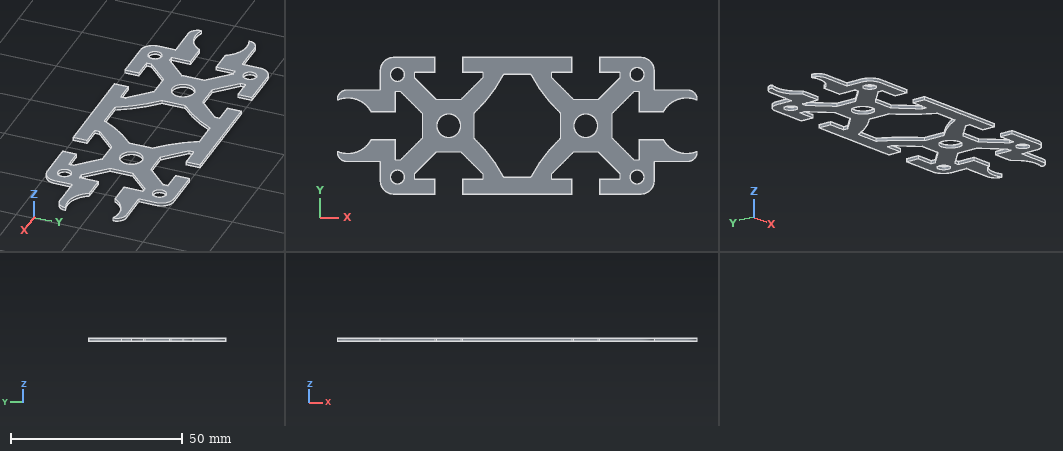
import cadquery as cq

thickness = 1.0
overall_length = 105.0
cell = 40.0
half_cell = cell / 2
body_length = 2 * cell
corner_radius = 4.0

core_hole_diameter = 6.8
corner_hole_diameter = 4.0
corner_hole_inset = 5.0

slot_opening = 8.1
lip_thickness = 4.4
cavity_half_width = 10.0
core_half = 7.7
floor_half_width = 3.6
shoulder_depth = core_half + cavity_half_width - floor_half_width

arm_half_height = 10.5
nose_length = 3.0
nose_middle = (51.6, 9.8)
tip_outer_y = 8.2
tip_inner_y = 7.5
hook_root_x = 42.6
hook_crest = (49.5, 8.1)

window_half_length = 12.6
window_side_half = 3.7
window_half_height = half_cell - corner_hole_inset
window_top_half = 4.0
window_flank_middle = (8.8, 7.7)


def plate(sketch):
    """Extrude an outline through the full thickness."""
    return sketch.extrude(thickness)


def mirrored(solid):
    """Return the solid joined with its copies across the X and Y axes."""
    pair = solid.union(solid.mirror("XZ"))
    return pair.union(pair.mirror("YZ"))


def t_slot():
    """Slot cutter at the origin core, opening toward +Y."""
    opening_half = slot_opening / 2
    lip_y = half_cell - lip_thickness
    right = [
        (floor_half_width, core_half),
        (cavity_half_width, shoulder_depth),
        (cavity_half_width, lip_y),
        (opening_half, lip_y),
        (opening_half, half_cell),
    ]
    left = [(-x, y) for x, y in reversed(right)]
    return plate(cq.Workplane("XY").polyline(right + left).close())


def hook_arm():
    """Arm in the +X, +Y quarter, starting at the inner face of the slot lip."""
    tip_x = overall_length / 2
    root_x = body_length / 2 - lip_thickness
    return plate(
        cq.Workplane("XY")
        .moveTo(root_x, slot_opening / 2)
        .lineTo(hook_root_x, slot_opening / 2)
        .threePointArc(hook_crest, (tip_x, tip_inner_y))
        .lineTo(tip_x, tip_outer_y)
        .threePointArc(nose_middle, (tip_x - nose_length, arm_half_height))
        .lineTo(root_x, arm_half_height)
        .close()
    )


def window():
    """Central opening whose four flanks bulge inward."""
    quarter = (
        cq.Workplane("XY")
        .lineTo(window_half_length, 0)
        .lineTo(window_half_length, window_side_half)
        .threePointArc(window_flank_middle, (window_top_half, window_half_height))
        .lineTo(0, window_half_height)
        .close()
    )
    return mirrored(plate(quarter))


body = plate(cq.Workplane("XY").rect(body_length, cell)).edges("|Z").fillet(corner_radius)
body = body.union(mirrored(hook_arm()))

for side in (-1, 1):
    core = (side * half_cell, 0, 0)
    for angle in (0, 180, -90 * side):
        slot = t_slot().rotate((0, 0, 0), (0, 0, 1), angle)
        body = body.cut(slot.translate(core))

body = body.cut(window())

core_holes = plate(
    cq.Workplane("XY").rarray(cell, 1, 2, 1).circle(core_hole_diameter / 2)
)
corner_holes = plate(
    cq.Workplane("XY")
    .rarray(body_length - 2 * corner_hole_inset, cell - 2 * corner_hole_inset, 2, 2)
    .circle(corner_hole_diameter / 2)
)
result = body.cut(core_holes).cut(corner_holes)